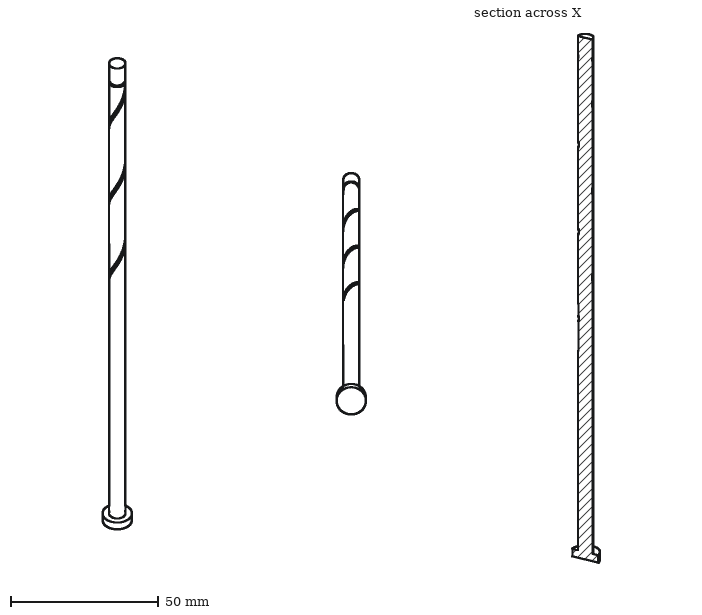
import cadquery as cq

total_length = 200.0
head_diameter = 10.0
head_height = 3.0
shaft_diameter = 5.5
shaft_radius = shaft_diameter / 2

tip_length = 7.5
ring_width = 0.5
ring_depth = 0.2
ring_bottom = total_length - tip_length - ring_width

turns = 3
helix_height = 100.0
pitch = helix_height / turns
helix_bottom = 90.8
start_angle = 79.0
groove_width = 1.8
groove_depth = 0.2
cutter_overlap = 0.5


def make_pin():
    """Turn the pin so the seam of its round faces lies on the -X side."""
    head = cq.Workplane("XY").circle(head_diameter / 2).extrude(head_height)
    shaft = cq.Workplane("XY").circle(shaft_radius).extrude(total_length)
    return head.union(shaft).rotate((0, 0, 0), (0, 0, 1), 180)


def make_ring_cutter():
    return (
        cq.Workplane("XY", origin=(0, 0, ring_bottom))
        .circle(shaft_radius + cutter_overlap)
        .circle(shaft_radius - ring_depth)
        .extrude(ring_width)
    )


def make_helix_cutter():
    """Sweep a rectangle up the shaft, starting at start_angle."""
    radial_size = groove_depth + cutter_overlap
    radial_middle = shaft_radius + (cutter_overlap - groove_depth) / 2
    path = cq.Workplane(obj=cq.Wire.makeHelix(pitch, helix_height, radial_middle))
    cutter = (
        cq.Workplane("XZ")
        .center(radial_middle, 0)
        .rect(radial_size, groove_width)
        .sweep(path, isFrenet=True)
    )
    return cutter.rotate((0, 0, 0), (0, 0, 1), start_angle).translate((0, 0, helix_bottom))


result = make_pin().cut(make_helix_cutter()).cut(make_ring_cutter())